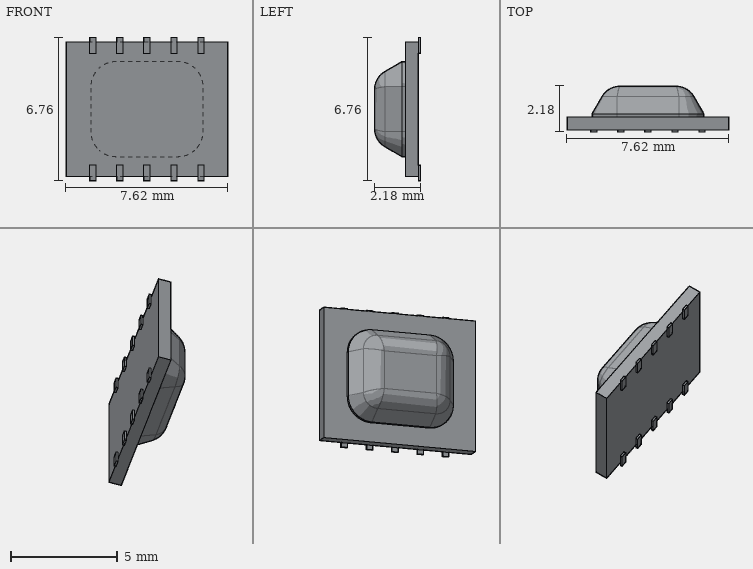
import cadquery as cq

board_width = 7.62
board_height = 6.35
board_thickness = 0.62

pad_count = 5
pad_pitch = 1.27
pad_width = 0.305
pad_length = 0.75
pad_thickness = 0.1
pad_overhang = 0.205

lens_width = 5.27
lens_height = 4.49
lens_corner_radius = 1.18
lens_depth = 1.455
skirt_depth = 0.15
taper_angle = 30.0
top_round_radius = 1.0


def facing_plane(y):
    """Plane at the given Y whose normal is +Y and whose local y is Z."""
    return cq.Plane(origin=(0, y, 0), xDir=(-1, 0, 0), normal=(0, 1, 0))


def make_board():
    return cq.Workplane(facing_plane(0)).rect(board_width, board_height).extrude(board_thickness)


def make_pads():
    row_z = board_height / 2 + pad_overhang - pad_length / 2
    first_x = -pad_pitch * (pad_count - 1) / 2
    places = [
        (first_x + index * pad_pitch, side * row_z)
        for index in range(pad_count)
        for side in (-1, 1)
    ]
    return (
        cq.Workplane(facing_plane(-pad_thickness))
        .pushPoints(places)
        .rect(pad_width, pad_length)
        .extrude(pad_thickness)
    )


def lens_outline():
    return cq.Sketch().rect(lens_width, lens_height).vertices().fillet(lens_corner_radius)


def make_lens():
    skirt = cq.Workplane(facing_plane(board_thickness)).placeSketch(lens_outline()).extrude(skirt_depth)
    body = (
        cq.Workplane(facing_plane(board_thickness + skirt_depth))
        .placeSketch(lens_outline())
        .extrude(lens_depth - skirt_depth, taper=taper_angle)
    )
    body = body.faces(">Y").edges().fillet(top_round_radius)
    return skirt.union(body)


result = make_board().union(make_pads()).union(make_lens())